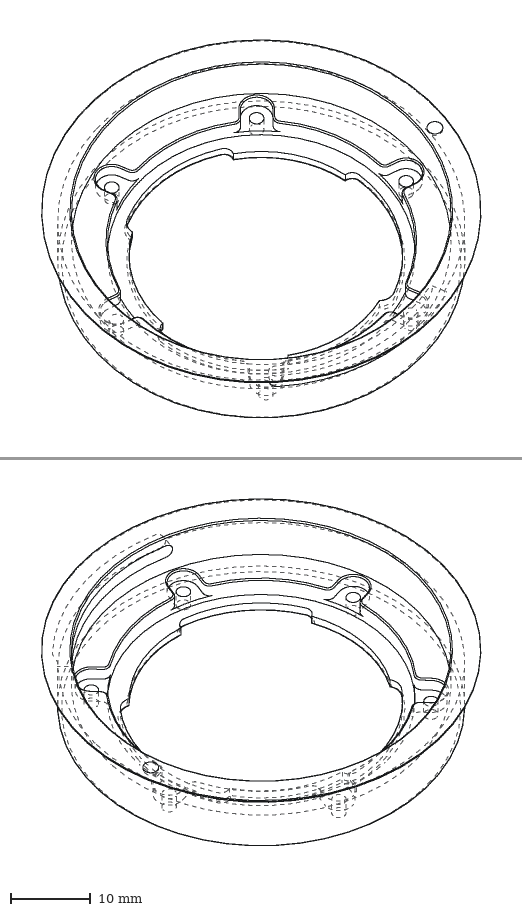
import cadquery as cq
import math

rim_radius = 27.5
height = 10.2
body_radius = 51.0 / 2
bore_radius = 47.5 / 2
edge_break = 0.2

rim_land = 0.2
cone_bottom = height - rim_land - (rim_radius - body_radius)
bottom_chamfer = 0.5

ledge_z = 4.1
ledge_radius = 38.5 / 2
pocket_floor_z = 2.25
flange_z = 1.5

screw_count = 6
screw_circle_radius = 21.3
screw_hole_diameter = 1.8
pocket_radius = 2.05
pocket_mouth_fillet = 1.0
first_screw_angle = 30

tab_radius = 16.55
gap_radius = 17.7
small_gap_fillet = 1.2
large_gap_fillet = 2.0
opening_chamfer = 0.3
gaps = [
    (31.0, large_gap_fillet, 109.0, small_gap_fillet),
    (160.6, small_gap_fillet, 226.6, large_gap_fillet),
    (280.3, small_gap_fillet, 340.0, small_gap_fillet),
]

slot_height = 2.0
slot_z = 7.65
slot_start_angle = -27.0
slot_end_angle = 30.4
slot_overshoot = 0.55

dimple_radius = 1.0
dimple_position_radius = 25.5


def polar(radius, angle):
    return (radius * math.cos(math.radians(angle)), radius * math.sin(math.radians(angle)))


def make_gap(start, start_fillet, end, end_fillet):
    """Pie slice with rounded outer corners, as thick as the bayonet flange."""
    middle = (start + end) / 2
    gap = (
        cq.Workplane("XY")
        .lineTo(*polar(gap_radius, start))
        .threePointArc(polar(gap_radius, middle), polar(gap_radius, end))
        .close()
        .extrude(flange_z)
    )
    for angle, fillet in ((start, start_fillet), (end, end_fillet)):
        corner = (*polar(gap_radius, angle), flange_z / 2)
        gap = gap.edges(cq.selectors.NearestToPointSelector(corner)).fillet(fillet)
    return gap


def make_ledge_recess():
    """Round recess with one open-ended pocket around each screw hole."""
    depth = ledge_z - pocket_floor_z
    recess = cq.Workplane("XY").circle(ledge_radius).extrude(depth)
    pocket = (
        cq.Workplane("XY")
        .moveTo(0, -pocket_radius)
        .lineTo(screw_circle_radius, -pocket_radius)
        .threePointArc((screw_circle_radius + pocket_radius, 0), (screw_circle_radius, pocket_radius))
        .lineTo(0, pocket_radius)
        .close()
        .extrude(depth)
    )
    half_mouth_angle = math.degrees(math.asin(pocket_radius / ledge_radius))
    screw_angles = [first_screw_angle + i * 360 / screw_count for i in range(screw_count)]
    for angle in screw_angles:
        recess = recess.union(pocket.rotate((0, 0, 0), (0, 0, 1), angle))
    for angle in screw_angles:
        for side in (-half_mouth_angle, half_mouth_angle):
            corner = (*polar(ledge_radius, angle + side), depth / 2)
            recess = recess.edges(cq.selectors.NearestToPointSelector(corner)).fillet(pocket_mouth_fillet)
    return recess.translate((0, 0, pocket_floor_z))


def make_cup():
    """Turned body with the flared rim, bored from the top down to the ledge."""
    profile = [
        (0, 0),
        (body_radius - bottom_chamfer, 0),
        (body_radius, bottom_chamfer),
        (body_radius, cone_bottom),
        (rim_radius, height - rim_land),
        (rim_radius, height),
        (bore_radius + edge_break, height),
        (bore_radius, height - edge_break),
        (bore_radius, ledge_z),
        (0, ledge_z),
    ]
    return cq.Workplane("XZ").polyline(profile).close().revolve(360, (0, 0, 0), (0, 1, 0))


def chamfer_inner_outline(body, z, direction, size):
    """Chamfer the inner outline of the flat face that lies at height z."""
    nearest_to_axis = cq.selectors.NearestToPointSelector((0, 0, z))
    outline = body.faces(direction).faces(nearest_to_axis).val().innerWires()[0]
    return body.newObject(outline.Edges()).chamfer(size)


def cut_bayonet_opening(body):
    """Cut the tabbed opening through the floor and break its lower edge."""
    neck = cq.Workplane("XY").workplane(offset=flange_z).circle(ledge_radius).extrude(height)
    opening = cq.Workplane("XY").circle(tab_radius).extrude(flange_z)
    for gap in gaps:
        opening = opening.union(make_gap(*gap))
    body = body.cut(opening).cut(neck)
    return chamfer_inner_outline(body, 0, "-Z", opening_chamfer)


def make_wall_slot():
    """Arc-shaped slot with round ends, cut radially through the wall."""
    inner = ledge_radius
    outer = rim_radius + slot_overshoot
    middle_angle = (slot_start_angle + slot_end_angle) / 2
    slot = (
        cq.Workplane("XY")
        .workplane(offset=slot_z - slot_height / 2)
        .moveTo(*polar(inner, slot_start_angle))
        .lineTo(*polar(outer, slot_start_angle))
        .threePointArc(polar(outer, middle_angle), polar(outer, slot_end_angle))
        .lineTo(*polar(inner, slot_end_angle))
        .threePointArc(polar(inner, middle_angle), polar(inner, slot_start_angle))
        .close()
        .extrude(slot_height)
    )
    round_end = (
        cq.Workplane("YZ")
        .workplane(offset=inner)
        .center(0, slot_z)
        .circle(slot_height / 2)
        .extrude(outer - inner)
    )
    for angle in (slot_start_angle, slot_end_angle):
        slot = slot.union(round_end.rotate((0, 0, 0), (0, 0, 1), angle))
    return slot


def make_screw_holes():
    return (
        cq.Workplane("XY")
        .polarArray(screw_circle_radius, first_screw_angle, 360, screw_count)
        .circle(screw_hole_diameter / 2)
        .extrude(ledge_z)
    )


dimple = cq.Workplane("XY").sphere(dimple_radius).translate((0, dimple_position_radius, height))

result = make_cup().cut(make_ledge_recess())
result = chamfer_inner_outline(result, ledge_z, "+Z", edge_break)
result = cut_bayonet_opening(result)
for cutter in (make_screw_holes(), make_wall_slot(), dimple):
    result = result.cut(cutter)